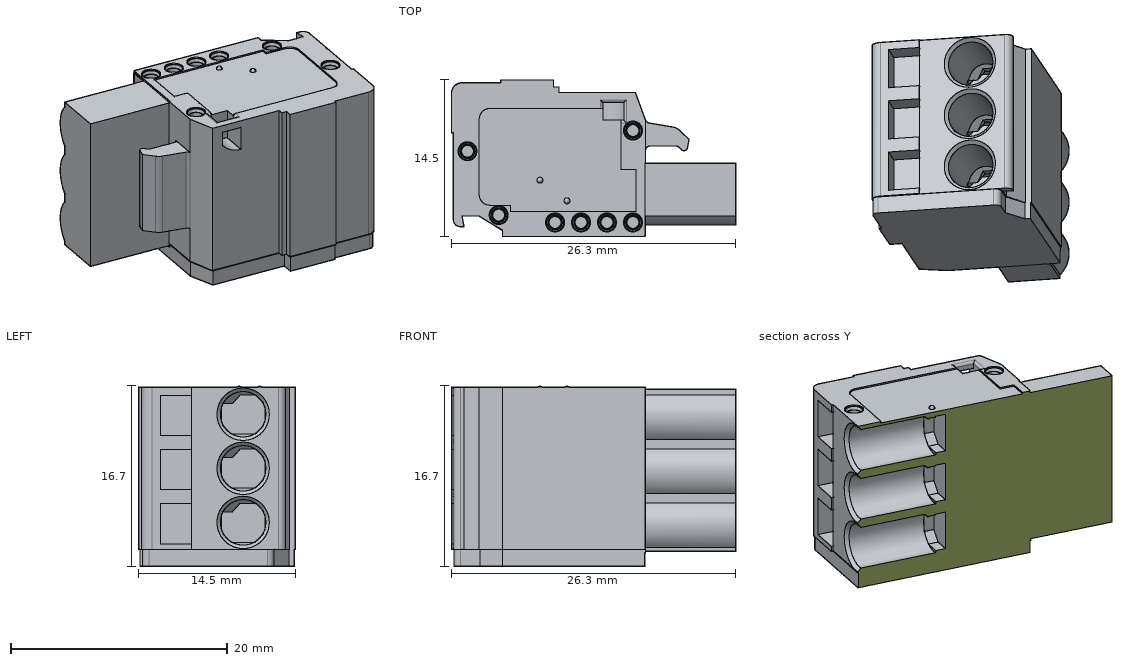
import cadquery as cq
import math

POLE_COUNT = 3
POLE_PITCH = 5.0
OVERALL_LENGTH = 26.3
OVERALL_WIDTH = 14.5
OVERALL_HEIGHT = 16.66

COVER_THICKNESS = 1.56
BODY_HEIGHT = POLE_COUNT * POLE_PITCH
BODY_BOTTOM = COVER_THICKNESS
BODY_TOP = BODY_BOTTOM + BODY_HEIGHT
POLES_MIDDLE = BODY_BOTTOM + BODY_HEIGHT / 2
BODY_LENGTH = 17.97

BACK_CORNER_RADIUS = 1.0
BACK_SHOULDER_Y = 14.25
BACK_RAIL_START = 4.56
BACK_RAIL_END = 9.46
BACK_STEP_END = 9.96
BACK_STEP_Y = 13.84
BACK_FACE_Y = 13.34
SLANT_START_X = 17.02
SLANT_END_Y = 10.75
WIRE_FACE_X = 0.17
WIRE_FACE_TOP_Y = 9.6
HOOK_BOTTOM_Y = 0.91
HOOK_RADIUS = 0.66
HOOK_TIP_X = 1.18
HOOK_ROOT_X = 1.0
HOOK_ROOT_Y = 1.9
RAMP_START_X = 2.54
RAMP_END_X = 4.72
RAMP_END_Y = 0.56

COVER_INSET = 0.1
COVER_LEFT_X = 0.23
COVER_CORNER_RADIUS = 0.6
COVER_RAMP_Y = 2.0

PLUG_TOP_Y = 6.8
PLUG_FLAT_Y = 1.92
PLUG_ROUND_Y = 1.06
PLUG_DROP = 0.17
PLUG_ROUND_CHORD = 4.12
PLUG_ROUND_DROP = 0.26
FLANGE_THICKNESS = 0.08
FLANGE_OVERHANG = 0.15
FLANGE_X = BODY_LENGTH - FLANGE_THICKNESS

LATCH_WIDTH = 8.0
LATCH_BACK_START = (18.28, 10.52)
LATCH_BACK_END = (20.51, 10.14)
LATCH_BEND_MIDDLE = (20.84, 10.03)
LATCH_BEND_END = (21.1, 9.84)
LATCH_NOSE = (21.99, 8.98)
LATCH_TIP_START = (21.86, 8.3)
LATCH_TIP_MIDDLE = (21.55, 7.94)
LATCH_TIP_END = (21.25, 8.04)
LATCH_HOOK_MIDDLE = (21.07, 8.25)
LATCH_HOOK_END_X = 20.8
LATCH_FRONT_Y = 8.37
LATCH_ROOT_END_X = 18.36
LATCH_ROOT_Y = 8.05
LATCH_ROOT_MIDDLE = (18.1, 8.27)
LATCH_BACK_ROOT_MIDDLE = (18.1, 10.6)

ENTRY_DIAMETER = 4.2
ENTRY_MOUTH_DIAMETER = 4.84
ENTRY_MOUTH_DEPTH = 0.35
ENTRY_DEPTH = 8.0
ENTRY_Y = 4.84
THROAT_HALF_WIDTH = 2.0
THROAT_HALF_HEIGHT = 1.84
THROAT_CORNER = 0.9
THROAT_DEPTH = 1.0
ENTRY_CORNER_BOTTOM = 0.98
ENTRY_CORNER_OUTER = 1.0
ENTRY_CORNER_INNER = 0.28
ENTRY_ROOF_HEIGHT = 1.77
ENTRY_RAMP_LENGTH = 1.2
POCKET_TOP_Y = 12.5
POCKET_HEIGHT = 3.72
POCKET_DEPTH = 2.34
POCKET_DROP = 0.12

PANEL_DEPTH = 0.14
PANEL_RADIUS = 1.0
PANEL_LEFT = 2.57
PANEL_RIGHT = 17.08
PANEL_NOTCH_X = 15.67
PANEL_NOTCH_Y = 6.21
PANEL_BACK_Y = 11.85
PANEL_FRONT_Y = 2.32
PANEL_STEP_X = 5.48
PANEL_STEP_Y = 2.9

WINDOW_LEFT = 13.77
WINDOW_RIGHT = 16.19
WINDOW_FRONT = 10.52
WINDOW_BACK = 12.64
WINDOW_EDGE_RADIUS = 0.25
WINDOW_WALL_HEIGHT = 0.7
SLOT_DEPTH = 3.0
SLOT_FLOOR_RADIUS = 2.5

RIVET_PITCH = 2.4
RIVET_ROW_END_X = 16.79
RIVET_ROW_Y = 1.31
RIVET_ROW_COUNT = 4
LOOSE_RIVETS = [(1.49, 7.9), (4.37, 1.99), (RIVET_ROW_END_X, 9.81)]
RIVET_MOUTH_DIAMETER = 1.75
RIVET_SEAT_DIAMETER = 1.6
RIVET_SEAT_DEPTH = 0.12
RIVET_NECK_DIAMETER = 1.35
RIVET_NECK_DEPTH = 0.4
RIVET_SHANK_DIAMETER = 1.25
RIVET_END_DIAMETER = 1.1
RIVET_DEPTH = 1.0
PIPS = [(8.19, 5.22), (10.69, 3.31)]
PIP_RADIUS = 0.28

OVERLAP = 0.5
POLE_LEVELS = [POLES_MIDDLE + (i - (POLE_COUNT - 1) / 2) * POLE_PITCH for i in range(POLE_COUNT)]
DIAGONAL = math.sqrt(0.5)


def box(x0, x1, y0, y1, z0, z1):
    """Box between two opposite corners."""
    return cq.Workplane("XY").box(x1 - x0, y1 - y0, z1 - z0, centered=False).translate((x0, y0, z0))


def housing():
    """Main body, with a hook at the wire end and stepped rails along the back."""
    corner = BACK_CORNER_RADIUS
    arc_inset = corner * (1 - DIAGONAL)
    hook_inset = HOOK_RADIUS * (1 - DIAGONAL)
    outline = (
        cq.Workplane("XY", origin=(0, 0, BODY_BOTTOM))
        .moveTo(0, BACK_SHOULDER_Y - corner)
        .threePointArc((arc_inset, BACK_SHOULDER_Y - arc_inset), (corner, BACK_SHOULDER_Y))
        .lineTo(BACK_RAIL_START, BACK_SHOULDER_Y)
        .lineTo(BACK_RAIL_START, OVERALL_WIDTH)
        .lineTo(BACK_RAIL_END, OVERALL_WIDTH)
        .lineTo(BACK_RAIL_END, BACK_STEP_Y)
        .lineTo(BACK_STEP_END, BACK_STEP_Y)
        .lineTo(BACK_STEP_END, BACK_FACE_Y)
        .lineTo(SLANT_START_X, BACK_FACE_Y)
        .lineTo(BODY_LENGTH, SLANT_END_Y)
        .lineTo(BODY_LENGTH, PLUG_TOP_Y)
        .lineTo(FLANGE_X, PLUG_TOP_Y)
        .lineTo(FLANGE_X, 0)
        .lineTo(RAMP_END_X, 0)
        .lineTo(RAMP_END_X, RAMP_END_Y)
        .lineTo(RAMP_START_X, HOOK_ROOT_Y)
        .lineTo(HOOK_ROOT_X, HOOK_ROOT_Y)
        .lineTo(HOOK_TIP_X, HOOK_BOTTOM_Y)
        .lineTo(WIRE_FACE_X + HOOK_RADIUS, HOOK_BOTTOM_Y)
        .threePointArc(
            (WIRE_FACE_X + hook_inset, HOOK_BOTTOM_Y + hook_inset),
            (WIRE_FACE_X, HOOK_BOTTOM_Y + HOOK_RADIUS),
        )
        .lineTo(WIRE_FACE_X, WIRE_FACE_TOP_Y)
        .lineTo(0, WIRE_FACE_TOP_Y)
        .close()
    )
    return outline.extrude(BODY_HEIGHT)


def cover():
    """Plate closing the underside, set in slightly from the housing outline."""
    shoulder_y = BACK_SHOULDER_Y - COVER_INSET
    radius = COVER_CORNER_RADIUS
    arc_inset = radius * (1 - DIAGONAL)
    outline = (
        cq.Workplane("XY")
        .moveTo(COVER_LEFT_X, shoulder_y - radius)
        .threePointArc(
            (COVER_LEFT_X + arc_inset, shoulder_y - arc_inset),
            (COVER_LEFT_X + radius, shoulder_y),
        )
        .lineTo(BACK_RAIL_START + COVER_INSET, shoulder_y)
        .lineTo(BACK_RAIL_START + COVER_INSET, OVERALL_WIDTH - COVER_INSET)
        .lineTo(BACK_RAIL_END - COVER_INSET, OVERALL_WIDTH - COVER_INSET)
        .lineTo(BACK_RAIL_END - COVER_INSET, BACK_FACE_Y - COVER_INSET)
        .lineTo(SLANT_START_X - COVER_INSET, BACK_FACE_Y - COVER_INSET)
        .lineTo(FLANGE_X, SLANT_END_Y)
        .lineTo(FLANGE_X, COVER_INSET)
        .lineTo(RAMP_END_X, COVER_INSET)
        .lineTo(RAMP_END_X, RAMP_END_Y + COVER_INSET / 2)
        .lineTo(RAMP_START_X + COVER_INSET, COVER_RAMP_Y)
        .lineTo(COVER_LEFT_X + radius, COVER_RAMP_Y)
        .threePointArc(
            (COVER_LEFT_X + arc_inset, COVER_RAMP_Y + arc_inset),
            (COVER_LEFT_X, COVER_RAMP_Y + radius),
        )
        .close()
    )
    return outline.extrude(COVER_THICKNESS)


def plug():
    """Plug block with a flange against the housing and one rounded rib per pole."""
    bottom = BODY_BOTTOM - PLUG_DROP
    top = BODY_TOP - PLUG_DROP
    start = BODY_LENGTH - OVERLAP
    block = box(start, OVERALL_LENGTH, PLUG_FLAT_Y, PLUG_TOP_Y, bottom, top)
    flange_bottom = bottom - FLANGE_OVERHANG
    flange = box(FLANGE_X, BODY_LENGTH, COVER_INSET, PLUG_TOP_Y, flange_bottom, top)
    solid = block.union(flange)
    half_chord = PLUG_ROUND_CHORD / 2
    for level in POLE_LEVELS:
        middle = level - PLUG_ROUND_DROP
        rib = (
            cq.Workplane("YZ", origin=(start, 0, 0))
            .moveTo(PLUG_FLAT_Y + OVERLAP, middle - half_chord)
            .lineTo(PLUG_FLAT_Y, middle - half_chord)
            .threePointArc((PLUG_ROUND_Y, middle), (PLUG_FLAT_Y, middle + half_chord))
            .lineTo(PLUG_FLAT_Y + OVERLAP, middle + half_chord)
            .close()
            .extrude(OVERALL_LENGTH - start)
        )
        solid = solid.union(rib)
    return solid


def latch():
    """Hooked latch arm beside the plug, with rounded root and nose."""
    root_x = BODY_LENGTH - OVERLAP
    outline = (
        cq.Workplane("XY", origin=(0, 0, POLES_MIDDLE - LATCH_WIDTH / 2))
        .moveTo(root_x, SLANT_END_Y)
        .lineTo(BODY_LENGTH, SLANT_END_Y)
        .threePointArc(LATCH_BACK_ROOT_MIDDLE, LATCH_BACK_START)
        .lineTo(*LATCH_BACK_END)
        .threePointArc(LATCH_BEND_MIDDLE, LATCH_BEND_END)
        .lineTo(*LATCH_NOSE)
        .lineTo(*LATCH_TIP_START)
        .threePointArc(LATCH_TIP_MIDDLE, LATCH_TIP_END)
        .threePointArc(LATCH_HOOK_MIDDLE, (LATCH_HOOK_END_X, LATCH_FRONT_Y))
        .lineTo(LATCH_ROOT_END_X, LATCH_FRONT_Y)
        .threePointArc(LATCH_ROOT_MIDDLE, (BODY_LENGTH, LATCH_ROOT_Y))
        .lineTo(root_x, LATCH_ROOT_Y)
        .close()
    )
    return outline.extrude(LATCH_WIDTH)


def wire_entry(level):
    """Cutter for one wire entry: conical mouth, round bore, octagonal throat, one sloped roof corner."""
    radius = ENTRY_DIAMETER / 2
    mouth_radius = ENTRY_MOUTH_DIAMETER / 2
    plane = cq.Workplane("YZ", origin=(WIRE_FACE_X, ENTRY_Y, level))
    bore = plane.circle(radius).extrude(ENTRY_DEPTH)
    roof = (
        cq.Workplane("XZ", origin=(WIRE_FACE_X, ENTRY_Y - radius, level))
        .moveTo(ENTRY_DEPTH, ENTRY_CORNER_BOTTOM)
        .lineTo(ENTRY_DEPTH, radius)
        .lineTo(ENTRY_DEPTH - ENTRY_RAMP_LENGTH, radius)
        .close()
        .extrude(-ENTRY_DIAMETER)
    )
    roof_corner = (
        plane.moveTo(radius, ENTRY_CORNER_BOTTOM)
        .lineTo(ENTRY_CORNER_OUTER, ENTRY_CORNER_BOTTOM)
        .lineTo(ENTRY_CORNER_INNER, ENTRY_ROOF_HEIGHT)
        .lineTo(-radius, ENTRY_ROOF_HEIGHT)
        .lineTo(-radius, radius)
        .lineTo(radius, radius)
        .close()
        .extrude(ENTRY_DEPTH)
    )
    mouth = cq.Workplane(
        cq.Solid.makeCone(
            mouth_radius, radius, ENTRY_MOUTH_DEPTH,
            cq.Vector(WIRE_FACE_X, ENTRY_Y, level), cq.Vector(1, 0, 0),
        )
    )
    throat = (
        cq.Workplane("YZ", origin=(WIRE_FACE_X + ENTRY_DEPTH, ENTRY_Y, level))
        .rect(2 * THROAT_HALF_WIDTH, 2 * THROAT_HALF_HEIGHT)
        .extrude(THROAT_DEPTH)
        .edges("|X")
        .chamfer(THROAT_CORNER)
    )
    return bore.cut(roof.intersect(roof_corner)).union(mouth).union(throat)


def test_pocket(level):
    """Cutter for one rectangular pocket beside a wire entry."""
    bottom = level - POCKET_DROP - POCKET_HEIGHT / 2
    return box(-OVERLAP, POCKET_DEPTH, WIRE_FACE_TOP_Y, POCKET_TOP_Y, bottom, bottom + POCKET_HEIGHT)


def panel():
    """Cutter for the shallow panel in the top face."""
    radius = PANEL_RADIUS
    inset = radius * (1 - DIAGONAL)
    outline = (
        cq.Workplane("XY", origin=(0, 0, BODY_TOP - PANEL_DEPTH))
        .moveTo(PANEL_LEFT, PANEL_STEP_Y + radius)
        .lineTo(PANEL_LEFT, PANEL_BACK_Y - radius)
        .threePointArc(
            (PANEL_LEFT + inset, PANEL_BACK_Y - inset),
            (PANEL_LEFT + radius, PANEL_BACK_Y),
        )
        .lineTo(PANEL_NOTCH_X, PANEL_BACK_Y)
        .lineTo(PANEL_NOTCH_X, PANEL_NOTCH_Y)
        .lineTo(PANEL_RIGHT, PANEL_NOTCH_Y)
        .lineTo(PANEL_RIGHT, PANEL_FRONT_Y)
        .lineTo(PANEL_STEP_X, PANEL_FRONT_Y)
        .lineTo(PANEL_STEP_X, PANEL_STEP_Y)
        .lineTo(PANEL_LEFT + radius, PANEL_STEP_Y)
        .threePointArc(
            (PANEL_LEFT + inset, PANEL_STEP_Y + inset),
            (PANEL_LEFT, PANEL_STEP_Y + radius),
        )
        .close()
    )
    return outline.extrude(PANEL_DEPTH)


def window():
    """Cutter for the round-edged window and the slot below it, which opens through the back face."""
    left = WINDOW_LEFT + WINDOW_EDGE_RADIUS
    right = WINDOW_RIGHT - WINDOW_EDGE_RADIUS
    front = WINDOW_FRONT + WINDOW_EDGE_RADIUS
    back = WINDOW_BACK - WINDOW_EDGE_RADIUS
    shaft = box(left, right, front, back, BODY_TOP - WINDOW_WALL_HEIGHT, BODY_TOP)

    rim_bottom = BODY_TOP - WINDOW_EDGE_RADIUS
    rim = box(WINDOW_LEFT, WINDOW_RIGHT, WINDOW_FRONT, WINDOW_BACK, rim_bottom, BODY_TOP)
    for x in (WINDOW_LEFT, WINDOW_RIGHT):
        rod = cq.Workplane("XZ", origin=(x, WINDOW_FRONT, rim_bottom)).circle(WINDOW_EDGE_RADIUS)
        rim = rim.cut(rod.extrude(WINDOW_FRONT - WINDOW_BACK))
    for y in (WINDOW_FRONT, WINDOW_BACK):
        rod = cq.Workplane("YZ", origin=(WINDOW_LEFT, y, rim_bottom)).circle(WINDOW_EDGE_RADIUS)
        rim = rim.cut(rod.extrude(WINDOW_RIGHT - WINDOW_LEFT))
    panel_left = box(WINDOW_LEFT, left, WINDOW_FRONT, PANEL_BACK_Y, rim_bottom, BODY_TOP)
    panel_front = box(WINDOW_LEFT, PANEL_NOTCH_X, WINDOW_FRONT, front, rim_bottom, BODY_TOP)
    rim = rim.cut(panel_left).cut(panel_front)

    slot_width = right - left
    floor_rise = SLOT_FLOOR_RADIUS - math.sqrt(SLOT_FLOOR_RADIUS**2 - slot_width**2)
    half_angle = math.asin(slot_width / SLOT_FLOOR_RADIUS) / 2
    floor_middle = (
        SLOT_FLOOR_RADIUS * math.sin(half_angle),
        SLOT_FLOOR_RADIUS * (1 - math.cos(half_angle)) - SLOT_DEPTH,
    )
    slot = (
        cq.Workplane("XZ", origin=(left, front, BODY_TOP))
        .moveTo(0, -WINDOW_WALL_HEIGHT)
        .lineTo(slot_width, -WINDOW_WALL_HEIGHT)
        .lineTo(slot_width, floor_rise - SLOT_DEPTH)
        .threePointArc(floor_middle, (0, -SLOT_DEPTH))
        .close()
        .extrude(front - BACK_FACE_Y - OVERLAP)
    )
    return shaft.union(rim).union(slot)


def rivet_hole(x, y):
    """Cutter for one blind hole: stepped mouth, narrowing neck, ledge and tapered shank."""
    return (
        cq.Workplane("XZ", origin=(x, y, BODY_TOP))
        .lineTo(RIVET_MOUTH_DIAMETER / 2, 0)
        .lineTo(RIVET_MOUTH_DIAMETER / 2, -RIVET_SEAT_DEPTH)
        .lineTo(RIVET_SEAT_DIAMETER / 2, -RIVET_SEAT_DEPTH)
        .lineTo(RIVET_NECK_DIAMETER / 2, -RIVET_NECK_DEPTH)
        .lineTo(RIVET_SHANK_DIAMETER / 2, -RIVET_NECK_DEPTH)
        .lineTo(RIVET_END_DIAMETER / 2, -RIVET_DEPTH)
        .lineTo(0, -RIVET_DEPTH)
        .close()
        .revolve(360, (0, 0), (0, 1))
    )


def pip(x, y):
    """Round-topped marker standing on the panel."""
    return cq.Workplane("XY").sphere(PIP_RADIUS).translate((x, y, OVERALL_HEIGHT - PIP_RADIUS))


result = housing().union(cover()).union(plug()).union(latch())
for pole_level in POLE_LEVELS:
    result = result.cut(wire_entry(pole_level)).cut(test_pocket(pole_level))
result = result.cut(panel()).cut(window())
rivet_row = [(RIVET_ROW_END_X - i * RIVET_PITCH, RIVET_ROW_Y) for i in range(RIVET_ROW_COUNT)]
for rivet_x, rivet_y in rivet_row + LOOSE_RIVETS:
    result = result.cut(rivet_hole(rivet_x, rivet_y))
for pip_x, pip_y in PIPS:
    result = result.union(pip(pip_x, pip_y))